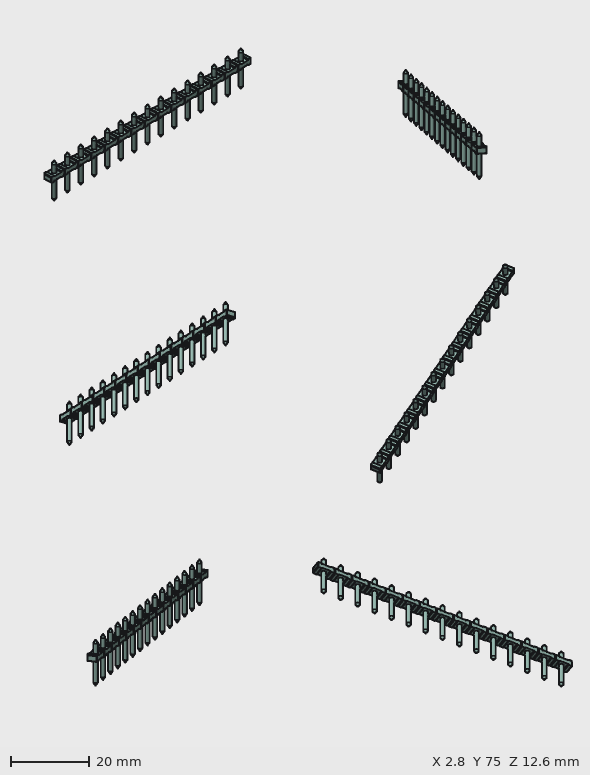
import cadquery as cq

pin_count = 15
strip_length = 75.0
pitch = strip_length / pin_count

block_width = 2.8
block_height = 1.8
end_chamfer = 0.2
recess_depth = 0.2
recess_floor_length = 2.4
recess_mouth_length = 2.85

pin_diameter = 1.3
pin_above_block = 3.45
pin_below_block = 7.3
tip_length = 1.0


def make_recess(side):
    """Trapezoidal channel across the block; side is +1 for the top face, -1 for the bottom."""
    mouth_z = side * block_height / 2
    floor_z = side * (block_height / 2 - recess_depth)
    return (
        cq.Workplane("YZ")
        .polyline([
            (-recess_mouth_length / 2, mouth_z),
            (-recess_floor_length / 2, floor_z),
            (recess_floor_length / 2, floor_z),
            (recess_mouth_length / 2, mouth_z),
        ])
        .close()
        .extrude(block_width / 2, both=True)
    )


def make_block():
    """One block, chamfered around both ends so that neighbours meet in a V-groove."""
    block = cq.Workplane("XY").box(block_width, pitch, block_height)
    block = block.faces("<Y or >Y").edges().chamfer(end_chamfer)
    for side in (1, -1):
        block = block.cut(make_recess(side))
    return block


def make_pin():
    """Round pin with a conical tip at each end, revolved about the Z axis."""
    radius = pin_diameter / 2
    top = block_height / 2 + pin_above_block
    bottom = -block_height / 2 - pin_below_block
    return (
        cq.Workplane("YZ")
        .polyline([
            (0, bottom),
            (-radius, bottom + tip_length),
            (-radius, top - tip_length),
            (0, top),
        ])
        .close()
        .revolve(360, (0, 0), (0, 1))
    )


section = make_block().union(make_pin())
result = section.translate((0, -(pin_count - 1) * pitch / 2, 0))
for index in range(1, pin_count):
    offset = (index - (pin_count - 1) / 2) * pitch
    result = result.union(section.translate((0, offset, 0)))